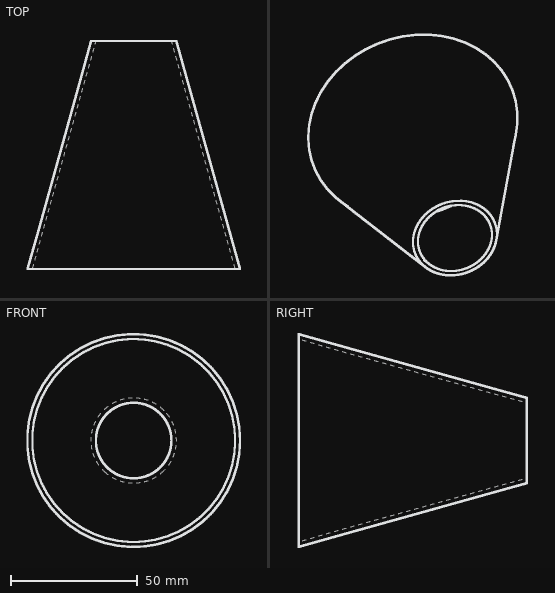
import cadquery as cq

length = 90.0
large_outer_diameter = 84.0
small_outer_diameter = 33.7
wall = 2.0

large_outer_radius = large_outer_diameter / 2
small_outer_radius = small_outer_diameter / 2

wall_section = [
    (large_outer_radius - wall, 0),
    (large_outer_radius, 0),
    (small_outer_radius, length),
    (small_outer_radius - wall, length),
]

result = (
    cq.Workplane("XY")
    .polyline(wall_section)
    .close()
    .revolve(360, (0, 0, 0), (0, 1, 0))
)